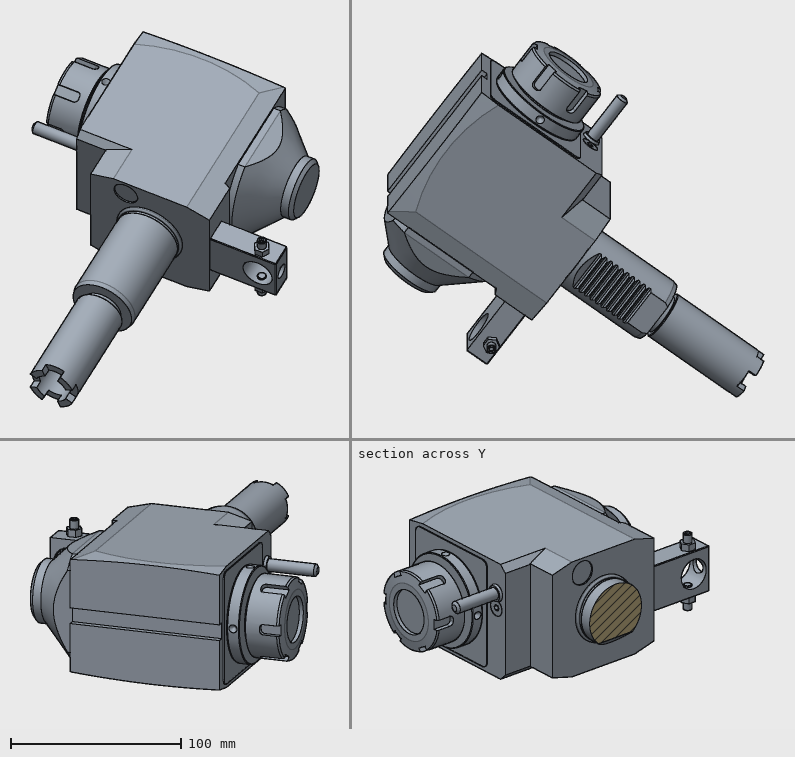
import cadquery as cq
import math


OVERLAP = 1.0

HOUSING_HEIGHT = 75.0
HALF_HEIGHT = HOUSING_HEIGHT / 2
LEFT_X = -58.1
BACK_Y = 107.8
FOOT_HALF_WIDTH = 38.9
FOOT_BEVEL_RUN = 14.9
BEVEL_ANGLE = math.radians(15)
FOOT_BEVEL_DROP = FOOT_BEVEL_RUN * math.tan(BEVEL_ANGLE)
BEVEL_START_X = FOOT_HALF_WIDTH - FOOT_BEVEL_RUN
LEFT_SHOULDER_Y = 20.1
SHOULDER_CHAMFER = 4.3
COVER_FACE_X = 35.2
COVER_STEP_Y = 28.3
COVER_STEP_SLOPE_Y = 1.6

BACK_CONE_CENTER = (-17.2, -6.9)
BACK_CONE_RADIUS = 110.4
BACK_CONE_ANGLE = math.radians(10)

KEYWAY_WIDTH = 9.7
KEYWAY_DEPTH = 3.9

PLUG_CENTER = (-15.9, 27.9)
PLUG_RADIUS = 7.7
PLUG_SINK = 1.0

FLANGE_RADIUS = 21.3
FLANGE_FILLET = 1.2
FLANGE_LENGTH = 2.2
UNDERCUT_RADIUS = 19.8
UNDERCUT_END = 3.8
SHANK_RADIUS = 20.0
SHANK_LENGTH = 63.0
SHANK_CHAMFER_LENGTH = 2.8
SHANK_CHAMFER = 0.8
NECK_RADIUS = 12.2
NECK_END = 66.5
DRIVE_RADIUS = 15.0
DRIVE_CHAMFER = 0.5
DOG_ROOT = 125.4
OVERALL_LENGTH = 238.25
SHAFT_END = OVERALL_LENGTH - BACK_Y
DRIVE_BORE_RADIUS = 10.3
DRIVE_BORE_DEPTH = 20.0
DOG_COUNT = 4
DOG_GAP_ANGLE = math.radians(47)

RACK_TIP_Z = -16.3
RACK_ROOT_Z = -15.1
RACK_START = 6.4
RACK_PITCH = 4.0
RACK_FIRST_NOTCH = 12.0
RACK_NOTCH_COUNT = 10
RACK_NOTCH_MOUTH = 3.4
RACK_NOTCH_ROOT = 1.2

SPINDLE_Y = 68.85
PLATE_FACE_X = -58.8
PLATE_Y_MIN = 36.4
PLATE_Y_MAX = 101.5
PLATE_HALF_HEIGHT = 34.9
PLATE_CORNER_RADIUS = 4.0
COLLAR_RADIUS = 29.35
COLLAR_START_X = -66.9
COLLAR_END_X = -59.2
COLLAR_CHAMFER = 0.5
COLLAR_HOLE_COUNT = 4
COLLAR_HOLE_RADIUS = 2.5
COLLAR_HOLE_DEPTH = 3.0
SPINDLE_NECK_RADIUS = 20.3
NUT_RADIUS = 25.0
NUT_END_X = -68.9
NUT_RIM_X = -90.0
NUT_RIM_RADIUS = 24.5
NUT_TAPER_END_X = -88.6
NUT_TIP_X = -91.1
NUT_TIP_RADIUS = 17.9
NUT_CHAMFER = 0.4
NUT_BORE_RADIUS = 13.9
NUT_BORE_DEPTH = 2.5
NUT_SLOT_COUNT = 6
NUT_SLOT_WIDTH = 6.4
NUT_SLOT_END_X = -74.5
NUT_SHORT_SLOT_END_X = -78.0
NUT_SLOT_FLOOR = 22.0
NUT_SLOT_CORNER = 2.4

PIPE_CENTER = (28.1, 17.6)
PIPE_RADIUS = 3.8
PIPE_TIP_X = -90.4
PIPE_TIP_RADIUS = 2.1
PIPE_TIP_LENGTH = 1.4
PIPE_SEAT_RADIUS = 5.5
PIPE_SEAT_RIM_RADIUS = 4.9
PIPE_SEAT_LENGTH = 1.7
SCREW_CENTER = (28.5, 7.6)
SCREW_RADIUS = 5.2
SCREW_SINK = 0.2
SCREW_SOCKET_ACROSS_CORNERS = 4.0
SCREW_SOCKET_DEPTH = 3.0

COVER_RADIUS = 40.5
COVER_CYLINDER_END_X = 39.6
COVER_TIP_RADIUS = 19.2
COVER_TIP_X = 68.3
COVER_TIP_CHAMFER = 2.3
COVER_BACK_Y = 100.5
COVER_FLAT_Z = 33.0

BRACKET_END_X = 82.0
BRACKET_Y_MIN = 0.9
BRACKET_Y_MAX = 15.8
BRACKET_HALF_HEIGHT = 14.8
BRACKET_CHAMFER = 0.5
BRACKET_BORE_X = 70.0
BRACKET_BORE_RADIUS = 9.5
BRACKET_END_HOLE_RADIUS = 4.5
SET_SCREW_Y = 6.5
SET_SCREW_RADIUS = 2.7
SET_SCREW_TOP_Z = 24.9
SET_SCREW_TIP_Z = 8.6
SET_SCREW_CHAMFER = 0.5
SET_SCREW_SOCKET = 3.0
SET_SCREW_SOCKET_DEPTH = 2.0
SET_NUT_ACROSS_CORNERS = 9.6
SET_NUT_TOP_Z = 19.2


def box(x_range, y_range, z_range):
    """Axis-aligned block between two limits on each axis."""
    size = [limits[1] - limits[0] for limits in (x_range, y_range, z_range)]
    corner = (x_range[0], y_range[0], z_range[0])
    return cq.Workplane("XY").box(*size, centered=False).translate(corner)


def rod_x(start_x, end_x, y, z, radius):
    """Cylinder along X."""
    start = cq.Vector(start_x, y, z)
    return cq.Workplane(cq.Solid.makeCylinder(radius, end_x - start_x, start, cq.Vector(1, 0, 0)))


def revolved_x(outline, y):
    """Turned body around the X-parallel line at y, from an outline of (x, radius) points."""
    points = [(x, y + radius) for x, radius in outline]
    return cq.Workplane("XY").polyline(points).close().revolve(360, (0, y, 0), (1, y, 0))


def mirrored_z(body):
    """A body together with its mirror image in Z."""
    return body.union(body.mirror("XY"))


def housing():
    body = main_block().union(foot()).cut(mirrored_z(bevel_wedge(1, BACK_Y))).intersect(back_cone())
    half_keyway = KEYWAY_WIDTH / 2
    keyway = box((LEFT_X, COVER_FACE_X), (BACK_Y - KEYWAY_DEPTH, BACK_Y), (-half_keyway, half_keyway))
    plug_x, plug_z = PLUG_CENTER
    plug = cq.Solid.makeCylinder(PLUG_RADIUS, PLUG_SINK, cq.Vector(plug_x, 0, plug_z), cq.Vector(0, 1, 0))
    return body.cut(keyway).cut(cq.Workplane(plug))


def main_block():
    """Block around the spindle, chamfered along the left shoulder."""
    block = box((LEFT_X, COVER_FACE_X), (LEFT_SHOULDER_Y, BACK_Y), (-HALF_HEIGHT, HALF_HEIGHT))
    return block.cut(mirrored_z(shoulder_chamfer()))


def foot():
    """Block that carries the shank, beveled on its left side and stepped in on its right side."""
    outline = [
        (-FOOT_HALF_WIDTH, 0),
        (FOOT_HALF_WIDTH, 0),
        (FOOT_HALF_WIDTH, COVER_STEP_Y - COVER_STEP_SLOPE_Y),
        (COVER_FACE_X, COVER_STEP_Y),
        (-BEVEL_START_X, COVER_STEP_Y),
        (-FOOT_HALF_WIDTH, LEFT_SHOULDER_Y + SHOULDER_CHAMFER),
    ]
    block = cq.Workplane("XY").polyline(outline).close().extrude(HALF_HEIGHT, both=True)
    return block.cut(mirrored_z(bevel_wedge(-1, COVER_STEP_Y)))


def bevel_wedge(side, y_max):
    """Wedge above the shallow top bevel on one side (-1 left, 1 right), from the seat face to y_max."""
    points = [
        (side * BEVEL_START_X, HALF_HEIGHT),
        (side * FOOT_HALF_WIDTH, HALF_HEIGHT - FOOT_BEVEL_DROP),
        (side * FOOT_HALF_WIDTH, HALF_HEIGHT),
    ]
    return cq.Workplane("XZ").polyline(points).close().extrude(-y_max)


def shoulder_chamfer():
    """Wedge along the top edge of the left shoulder."""
    points = [
        (LEFT_SHOULDER_Y, HALF_HEIGHT - SHOULDER_CHAMFER),
        (LEFT_SHOULDER_Y, HALF_HEIGHT),
        (LEFT_SHOULDER_Y + SHOULDER_CHAMFER, HALF_HEIGHT),
    ]
    wedge_length = -BEVEL_START_X - LEFT_X
    return cq.Workplane("YZ").workplane(offset=LEFT_X).polyline(points).close().extrude(wedge_length)


def back_cone():
    """Double cone, widest at mid height, that trims the back edges at top and bottom."""
    waist_radius = BACK_CONE_RADIUS + HALF_HEIGHT / math.tan(BACK_CONE_ANGLE)
    cone = cq.Solid.makeCone(waist_radius, BACK_CONE_RADIUS, HALF_HEIGHT, cq.Vector(*BACK_CONE_CENTER, 0))
    return mirrored_z(cq.Workplane(cone))


def shank():
    outline = [
        (0, OVERLAP),
        (UNDERCUT_RADIUS, OVERLAP),
        (UNDERCUT_RADIUS, -UNDERCUT_END),
        (SHANK_RADIUS, -UNDERCUT_END),
        (SHANK_RADIUS, SHANK_CHAMFER_LENGTH - SHANK_LENGTH),
        (SHANK_RADIUS - SHANK_CHAMFER, -SHANK_LENGTH),
        (NECK_RADIUS, -SHANK_LENGTH),
        (NECK_RADIUS, -NECK_END),
        (DRIVE_RADIUS - DRIVE_CHAMFER, -NECK_END),
        (DRIVE_RADIUS, -NECK_END - DRIVE_CHAMFER),
        (DRIVE_RADIUS, -SHAFT_END),
        (DRIVE_BORE_RADIUS, -SHAFT_END),
        (DRIVE_BORE_RADIUS, DRIVE_BORE_DEPTH - SHAFT_END),
        (0, DRIVE_BORE_DEPTH - SHAFT_END),
    ]
    body = cq.Workplane("XY").polyline(outline).close().revolve(360, (0, 0, 0), (0, 1, 0))
    for index in range(DOG_COUNT):
        body = body.cut(dog_gap(index * 360 / DOG_COUNT))
    flange = cq.Workplane("XZ", origin=(0, OVERLAP, 0)).circle(FLANGE_RADIUS).extrude(OVERLAP + FLANGE_LENGTH)
    return body.cut(rack()).union(flange.faces("<Y").edges().fillet(FLANGE_FILLET))


def dog_gap(angle):
    """Radial sector that separates two drive dogs."""
    reach = 2 * DRIVE_RADIUS
    half_width = reach * math.tan(DOG_GAP_ANGLE / 2)
    points = [(0, 0), (reach, half_width), (reach, -half_width)]
    sector = cq.Workplane("XZ", origin=(0, -DOG_ROOT, 0)).polyline(points).close().extrude(SHAFT_END - DOG_ROOT)
    return sector.rotate((0, 0, 0), (0, 1, 0), angle)


def rack():
    """Flat under the shank with a row of notches; the first notch opens into its sloped start."""
    below = -SHANK_RADIUS
    root_start = RACK_START + SHANK_RADIUS + RACK_ROOT_Z
    notch_end = RACK_FIRST_NOTCH + RACK_NOTCH_MOUTH / 2
    root_end = RACK_FIRST_NOTCH + RACK_NOTCH_ROOT / 2
    points = [
        (-RACK_START, below),
        (-root_start, RACK_ROOT_Z),
        (-root_end, RACK_ROOT_Z),
        (-notch_end, RACK_TIP_Z),
        (-SHANK_LENGTH, RACK_TIP_Z),
        (-SHANK_LENGTH, below),
    ]
    cutter = cq.Workplane("YZ").polyline(points).close().extrude(SHANK_RADIUS, both=True)
    for index in range(1, RACK_NOTCH_COUNT):
        cutter = cutter.union(rack_notch(-RACK_FIRST_NOTCH - index * RACK_PITCH))
    return cutter


def rack_notch(y):
    points = [
        (y - RACK_NOTCH_MOUTH / 2, RACK_TIP_Z),
        (y - RACK_NOTCH_ROOT / 2, RACK_ROOT_Z),
        (y + RACK_NOTCH_ROOT / 2, RACK_ROOT_Z),
        (y + RACK_NOTCH_MOUTH / 2, RACK_TIP_Z),
    ]
    return cq.Workplane("YZ").polyline(points).close().extrude(SHANK_RADIUS, both=True)


def spindle_plate():
    plate = box(
        (PLATE_FACE_X, LEFT_X + OVERLAP),
        (PLATE_Y_MIN, PLATE_Y_MAX),
        (-PLATE_HALF_HEIGHT, PLATE_HALF_HEIGHT),
    )
    return plate.edges("|X").fillet(PLATE_CORNER_RADIUS)


def spindle():
    """Collar, neck and collet nut as one turned body with its slots and spanner holes."""
    bore_floor_x = NUT_TIP_X + NUT_BORE_DEPTH
    outline = [
        (bore_floor_x, 0),
        (bore_floor_x, NUT_BORE_RADIUS),
        (NUT_TIP_X, NUT_BORE_RADIUS),
        (NUT_TIP_X, NUT_TIP_RADIUS),
        (NUT_RIM_X, NUT_RIM_RADIUS),
        (NUT_TAPER_END_X, NUT_RADIUS),
        (NUT_END_X - NUT_CHAMFER, NUT_RADIUS),
        (NUT_END_X, NUT_RADIUS - NUT_CHAMFER),
        (NUT_END_X, SPINDLE_NECK_RADIUS),
        (COLLAR_START_X, SPINDLE_NECK_RADIUS),
        (COLLAR_START_X, COLLAR_RADIUS - COLLAR_CHAMFER),
        (COLLAR_START_X + COLLAR_CHAMFER, COLLAR_RADIUS),
        (COLLAR_END_X - COLLAR_CHAMFER, COLLAR_RADIUS),
        (COLLAR_END_X, COLLAR_RADIUS - COLLAR_CHAMFER),
        (LEFT_X + OVERLAP, COLLAR_RADIUS - COLLAR_CHAMFER),
        (LEFT_X + OVERLAP, 0),
    ]
    body = revolved_x(outline, SPINDLE_Y)
    axis_start = (0, SPINDLE_Y, 0)
    axis_end = (1, SPINDLE_Y, 0)
    for index in range(NUT_SLOT_COUNT):
        level = index % (NUT_SLOT_COUNT // 2) == 0
        slot = nut_slot(NUT_SHORT_SLOT_END_X if level else NUT_SLOT_END_X)
        body = body.cut(slot.rotate(axis_start, axis_end, index * 360 / NUT_SLOT_COUNT))
    for index in range(COLLAR_HOLE_COUNT):
        body = body.cut(collar_hole().rotate(axis_start, axis_end, index * 360 / COLLAR_HOLE_COUNT))
    return body


def nut_slot(end_x):
    """Spanner slot on the +Y side of the nut, open at its front and rounded at its end."""
    half_width = NUT_SLOT_WIDTH / 2
    slot = box(
        (NUT_TIP_X - OVERLAP, end_x),
        (SPINDLE_Y + NUT_SLOT_FLOOR, SPINDLE_Y + NUT_RADIUS + OVERLAP),
        (-half_width, half_width),
    )
    return slot.edges("|Y and >X").fillet(NUT_SLOT_CORNER)


def collar_hole():
    """Conical spanner hole, widest where it meets the rim of the collar."""
    hole_x = (COLLAR_START_X + COLLAR_END_X) / 2
    rim = cq.Vector(hole_x, SPINDLE_Y + COLLAR_RADIUS, 0)
    return cq.Workplane(cq.Solid.makeCone(COLLAR_HOLE_RADIUS, 0, COLLAR_HOLE_DEPTH, rim, cq.Vector(0, -1, 0)))


def coolant_pipe():
    """Pipe with a tapered tip and a slightly conical seat on the left face."""
    y, z = PIPE_CENTER
    outline = [
        (PIPE_TIP_X, 0),
        (PIPE_TIP_X, PIPE_TIP_RADIUS),
        (PIPE_TIP_X + PIPE_TIP_LENGTH, PIPE_RADIUS),
        (LEFT_X - PIPE_SEAT_LENGTH, PIPE_RADIUS),
        (LEFT_X - PIPE_SEAT_LENGTH, PIPE_SEAT_RIM_RADIUS),
        (LEFT_X, PIPE_SEAT_RADIUS),
        (LEFT_X + OVERLAP, PIPE_SEAT_RADIUS),
        (LEFT_X + OVERLAP, 0),
    ]
    return revolved_x(outline, y).translate((0, 0, z))


def screw_recess():
    """Shallow round recess of the sunk screw with its hexagon socket."""
    y, z = SCREW_CENTER
    head = rod_x(LEFT_X, LEFT_X + SCREW_SINK, y, z, SCREW_RADIUS)
    socket = cq.Workplane("YZ", origin=(LEFT_X, y, z)).polygon(6, SCREW_SOCKET_ACROSS_CORNERS)
    return head.union(socket.extrude(SCREW_SOCKET_DEPTH))


def rear_cover():
    """Conical cover, cut flat at the back and sloped at top and bottom, with a turned boss."""
    cone_end_x = COVER_CYLINDER_END_X + COVER_RADIUS - COVER_TIP_RADIUS
    inner_x = COVER_FACE_X - OVERLAP
    body = revolved_x(
        [
            (inner_x, 0),
            (inner_x, COVER_RADIUS),
            (COVER_CYLINDER_END_X, COVER_RADIUS),
            (cone_end_x, COVER_TIP_RADIUS),
            (cone_end_x, 0),
        ],
        SPINDLE_Y,
    )
    slope_end_z = COVER_FLAT_Z - (COVER_TIP_X - COVER_CYLINDER_END_X) * math.tan(BEVEL_ANGLE)
    envelope_points = [
        (inner_x, COVER_FLAT_Z),
        (COVER_CYLINDER_END_X, COVER_FLAT_Z),
        (COVER_TIP_X, slope_end_z),
        (COVER_TIP_X, -slope_end_z),
        (COVER_CYLINDER_END_X, -COVER_FLAT_Z),
        (inner_x, -COVER_FLAT_Z),
    ]
    envelope = cq.Workplane("XZ", origin=(0, COVER_BACK_Y, 0)).polyline(envelope_points).close()
    body = body.intersect(envelope.extrude(COVER_BACK_Y))
    boss = rod_x(inner_x, COVER_TIP_X, SPINDLE_Y, 0, COVER_TIP_RADIUS).faces(">X").chamfer(COVER_TIP_CHAMFER)
    return body.union(boss)


def clamp_bracket():
    middle_y = (BRACKET_Y_MIN + BRACKET_Y_MAX) / 2
    bracket = box(
        (FOOT_HALF_WIDTH - OVERLAP, BRACKET_END_X),
        (BRACKET_Y_MIN, BRACKET_Y_MAX),
        (-BRACKET_HALF_HEIGHT, BRACKET_HALF_HEIGHT),
    )
    bracket = bracket.faces(">X or <Y").chamfer(BRACKET_CHAMFER)
    bore_start = cq.Vector(BRACKET_BORE_X, BRACKET_Y_MIN, 0)
    bore_length = BRACKET_Y_MAX - BRACKET_Y_MIN
    bore = cq.Solid.makeCylinder(BRACKET_BORE_RADIUS, bore_length, bore_start, cq.Vector(0, 1, 0))
    end_hole = rod_x(BRACKET_BORE_X, BRACKET_END_X, middle_y, 0, BRACKET_END_HOLE_RADIUS)
    return bracket.cut(cq.Workplane(bore)).cut(end_hole).union(mirrored_z(set_screw()))


def set_screw():
    """Set screw with its lock nut on top of the bracket; the tip just enters the bore."""
    screw = cq.Workplane("XY", origin=(BRACKET_BORE_X, SET_SCREW_Y, SET_SCREW_TIP_Z))
    screw = screw.circle(SET_SCREW_RADIUS).extrude(SET_SCREW_TOP_Z - SET_SCREW_TIP_Z).chamfer(SET_SCREW_CHAMFER)
    nut = cq.Workplane("XY", origin=(BRACKET_BORE_X, SET_SCREW_Y, BRACKET_HALF_HEIGHT - OVERLAP))
    nut = nut.polygon(6, SET_NUT_ACROSS_CORNERS).extrude(SET_NUT_TOP_Z - BRACKET_HALF_HEIGHT + OVERLAP)
    socket = cq.Workplane("XY", origin=(BRACKET_BORE_X, SET_SCREW_Y, SET_SCREW_TOP_Z))
    socket = socket.polygon(6, SET_SCREW_SOCKET).extrude(-SET_SCREW_SOCKET_DEPTH)
    return screw.union(nut).cut(socket)


result = housing().cut(screw_recess())
for component in (shank(), spindle_plate(), spindle(), coolant_pipe(), rear_cover(), clamp_bracket()):
    result = result.union(component)